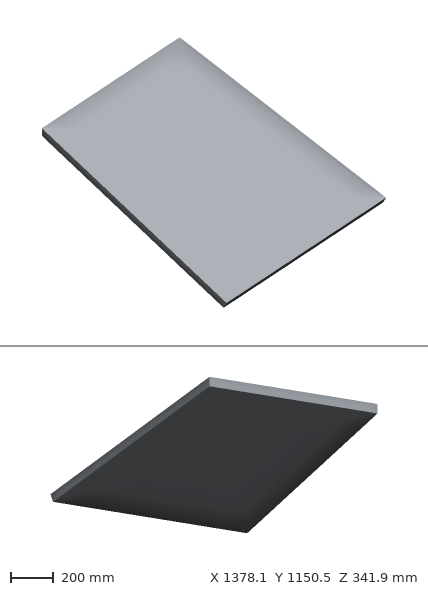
import cadquery as cq
import math

SECTOR_COUNT = 54
PANEL_THICKNESS = 45.0
UPPER_WIDTH = 936.04
PLAN_LENGTH = 1269.45
TOP_DROP = 300.5
TOTAL_HEIGHT = 341.89

sector_angle = 360 / SECTOR_COUNT
side_taper = math.radians(sector_angle / 2)
heading = sector_angle

half_upper = UPPER_WIDTH / 2
half_lower = half_upper + PLAN_LENGTH * math.tan(side_taper)

slope = TOP_DROP / PLAN_LENGTH
vertical_thickness = PANEL_THICKNESS / math.cos(math.atan(slope))
underside_length = (TOTAL_HEIGHT - vertical_thickness) / slope


def plan_prism():
    """Upright prism over the trapezoidal plan, with its top at the level of the high edge."""
    outline = [
        (0, -half_upper),
        (PLAN_LENGTH, -half_lower),
        (PLAN_LENGTH, half_lower),
        (0, half_upper),
    ]
    return cq.Workplane("XY").polyline(outline).close().extrude(-TOTAL_HEIGHT)


def sloping_slab():
    """Side profile of the panel, upright at the high end and bevelled at the low end."""
    profile = [
        (0, 0),
        (PLAN_LENGTH, -TOP_DROP),
        (underside_length, -TOTAL_HEIGHT),
        (0, -vertical_thickness),
    ]
    return cq.Workplane("XZ").polyline(profile).close().extrude(half_lower, both=True)


panel = sloping_slab().intersect(plan_prism())
result = panel.rotate((0, 0, 0), (0, 0, 1), heading)